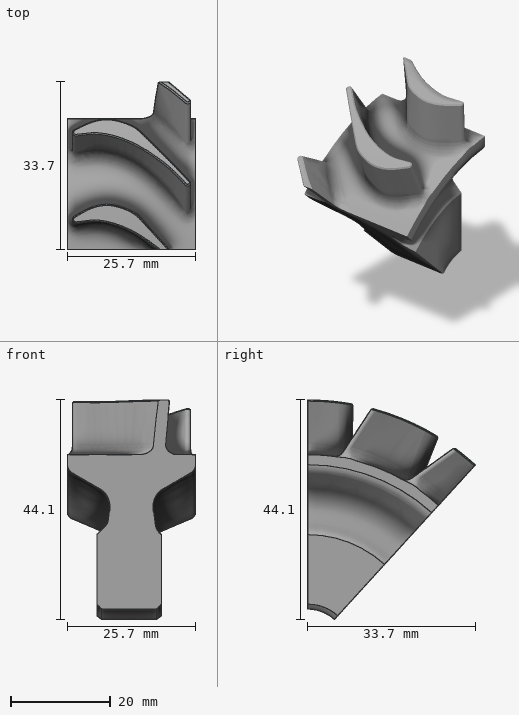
import cadquery as cq
import math


BLADES_PER_TURN = 17
BLADE_PITCH = 360 / BLADES_PER_TURN
BLADES_IN_SECTOR = 3
SECTOR_ANGLE = (BLADES_IN_SECTOR - 1) * BLADE_PITCH

TIP_RADIUS = 50.0
RIM_RADIUS = 39.0
BORE_RADIUS = 8.0
BORE_CHAMFER = 1.0

RIM_WIDTH = 25.74
RIM_EDGE_RADIUS = 35.9
RIM_SLOPE = 30.0
RIM_EDGE_ROUND = 2.0

WEB_THICKNESS = 8.25
WEB_RADIUS = 30.0
WEB_DRAFT = 7.5
WEB_TOP_ROUND = 4.0
WEB_FOOT_ROUND = 2.0

HUB_LEFT = 5.9
HUB_WIDTH = 13.0
HUB_RADIUS = 22.95
HUB_SLOPE = 45.0

ROOT_FILLET = 2.0
TIP_CHAMFER = 0.25

ROOT_HEIGHT = 40.5
TIP_HEIGHT = 49.5
LOFT_HEIGHTS = (36.0, 51.0)

NOSE_X = 1.75
NOSE_RADIUS = 0.75
TAIL_X = 24.15
TAIL_RADIUS = 0.6
CONVEX_XS = (4.5, 8.5, 12.0)
SHOULDER_X = 14.8
HOLLOW_XS = (5.5, 10.0, 15.0, 20.0)

NOSE_CONVEX_SLOPE = -31.0
NOSE_HOLLOW_SLOPE = -7.0
ROOT_SECTION = {
    "nose_y": 5.6,
    "tail_y": -6.8,
    "tail_convex_slope": 52.2,
    "tail_hollow_slope": 51.5,
    "convex_ys": (8.0, 9.0, 8.15),
    "hollow_ys": (5.35, 4.6, 1.95, -2.75),
}
TIP_SECTION = {
    "nose_y": 6.05,
    "tail_y": -4.9,
    "tail_convex_slope": 47.5,
    "tail_hollow_slope": 46.0,
    "convex_ys": (8.4, 9.1, 8.15),
    "hollow_ys": (5.7, 4.82, 2.35, -1.5),
}

BLANK_OVERHANG = 8.0
BLANK_DEPTH = 2.0
BLANK_HALF_ANGLE = 2 * BLADE_PITCH
ON_RIM_TOLERANCE = 0.01


def blend(root_value, tip_value, height):
    share = (height - ROOT_HEIGHT) / (TIP_HEIGHT - ROOT_HEIGHT)
    return root_value + share * (tip_value - root_value)


def section_at(height):
    """Section sizes at a radial height, in proportion between root and tip."""
    section = {}
    for name, root_value in ROOT_SECTION.items():
        tip_value = TIP_SECTION[name]
        if isinstance(root_value, tuple):
            pairs = zip(root_value, tip_value)
            section[name] = [blend(root, tip, height) for root, tip in pairs]
        else:
            section[name] = blend(root_value, tip_value, height)
    return section


def direction(slope):
    return (math.cos(math.radians(slope)), -math.sin(math.radians(slope)))


def beside(centre, radius, heading, side):
    """Point of a circle to the left (side 1) or right (side -1) of a heading."""
    return (centre[0] - side * radius * heading[1], centre[1] + side * radius * heading[0])


def blade_wire(height):
    s = section_at(height)
    nose = (NOSE_X, s["nose_y"])
    tail = (TAIL_X, s["tail_y"])
    nose_up = direction(NOSE_CONVEX_SLOPE)
    nose_low = direction(NOSE_HOLLOW_SLOPE)
    tail_up = direction(s["tail_convex_slope"])
    tail_low = direction(s["tail_hollow_slope"])

    convex_start = beside(nose, NOSE_RADIUS, nose_up, 1)
    convex_end = beside(tail, TAIL_RADIUS, tail_up, 1)
    shoulder_rise = (convex_end[0] - SHOULDER_X) * math.tan(math.radians(s["tail_convex_slope"]))
    shoulder = (SHOULDER_X, convex_end[1] + shoulder_rise)
    hollow_start = beside(nose, NOSE_RADIUS, nose_low, -1)
    hollow_end = beside(tail, TAIL_RADIUS, tail_low, -1)

    nose_back = direction((NOSE_CONVEX_SLOPE + NOSE_HOLLOW_SLOPE) / 2)
    tail_out = direction((s["tail_convex_slope"] + s["tail_hollow_slope"]) / 2)
    nose_mid = (nose[0] - NOSE_RADIUS * nose_back[0], nose[1] - NOSE_RADIUS * nose_back[1])
    tail_mid = (tail[0] + TAIL_RADIUS * tail_out[0], tail[1] + TAIL_RADIUS * tail_out[1])

    def at(point):
        return cq.Vector(point[0], point[1], height)

    def along(heading):
        return cq.Vector(heading[0], heading[1], 0)

    convex_points = [convex_start, *zip(CONVEX_XS, s["convex_ys"]), shoulder]
    hollow_points = [hollow_start, *zip(HOLLOW_XS, s["hollow_ys"]), hollow_end]
    edges = [
        cq.Edge.makeSpline([at(p) for p in convex_points], tangents=[along(nose_up), along(tail_up)]),
        cq.Edge.makeLine(at(shoulder), at(convex_end)),
        cq.Edge.makeThreePointArc(at(convex_end), at(tail_mid), at(hollow_end)),
        cq.Edge.makeSpline([at(p) for p in hollow_points], tangents=[along(nose_low), along(tail_low)]),
        cq.Edge.makeThreePointArc(at(hollow_start), at(nose_mid), at(convex_start)),
    ]
    return cq.Wire.assembleEdges(edges)


def ring(outer_radius, inner_radius, left, right):
    """Full ring about the X axis."""
    profile = cq.Workplane("YZ", origin=(left, 0, 0)).circle(outer_radius).circle(inner_radius)
    return profile.extrude(right - left)


def wedge(start_angle, end_angle, left, right):
    """Pie slice about the X axis; angles run from +Z towards +Y."""
    reach = 2 * TIP_RADIUS

    def corner(angle):
        return (reach * math.sin(math.radians(angle)), reach * math.cos(math.radians(angle)))

    slice_outline = cq.Workplane("YZ", origin=(left, 0, 0)).polyline(
        [(0, 0), corner(start_angle), corner(end_angle)])
    return slice_outline.close().extrude(right - left)


def tipped_blade():
    """One blade, cut off at the tip radius with its tip edges chamfered."""
    sides = cq.Solid.makeLoft([blade_wire(height) for height in LOFT_HEIGHTS], True)
    tip_cylinder = cq.Workplane("YZ").circle(TIP_RADIUS).extrude(RIM_WIDTH)
    blade = cq.Workplane(sides).intersect(tip_cylinder)
    return blade.faces(">Z").chamfer(TIP_CHAMFER)


def filleted_blade():
    """One blade on an oversize strip of rim, joined by its root fillet."""
    left = -BLANK_OVERHANG
    right = RIM_WIDTH + BLANK_OVERHANG
    strip = ring(RIM_RADIUS, RIM_RADIUS - BLANK_DEPTH, left, right)
    strip = strip.intersect(wedge(-BLANK_HALF_ANGLE, BLANK_HALF_ANGLE, left, right))
    outside = ring(2 * TIP_RADIUS, RIM_RADIUS - BLANK_DEPTH / 2, left, right)
    joined = strip.union(tipped_blade().intersect(outside))

    def is_root_edge(edge):
        box = edge.BoundingBox()
        start = edge.startPoint()
        on_rim = abs(math.hypot(start.y, start.z) - RIM_RADIUS) < ON_RIM_TOLERANCE
        return on_rim and box.xmin > 0 and box.xmax < RIM_WIDTH

    root_edges = [edge for edge in joined.edges().vals() if is_root_edge(edge)]
    return joined.newObject(root_edges).fillet(ROOT_FILLET)


def rounded_path(corners):
    """Outline through (x, radius, rounding) corners, each rounded by a tangent arc."""
    points = [cq.Vector(x, r, 0) for x, r, _ in corners]
    path = None
    for i, (_, _, rounding) in enumerate(corners):
        corner = points[i]
        to_last = (points[i - 1] - corner).normalized()
        to_next = (points[(i + 1) % len(points)] - corner).normalized()
        half_angle = to_last.getAngle(to_next) / 2
        setback = rounding / math.tan(half_angle)
        bisector = (to_last + to_next).normalized()
        arc_middle = corner + bisector * (rounding / math.sin(half_angle) - rounding)
        arc_start = corner + to_last * setback
        if path is None:
            path = cq.Workplane("XZ").moveTo(arc_start.x, arc_start.y)
        else:
            path = path.lineTo(arc_start.x, arc_start.y)
        if rounding > 0:
            arc_end = corner + to_next * setback
            path = path.threePointArc((arc_middle.x, arc_middle.y), (arc_end.x, arc_end.y))
    return path.close()


def disc_side(hub_face):
    """One side of the disc from bore to rim; x and hub_face are measured in from the rim face."""
    rim_tan = math.tan(math.radians(RIM_SLOPE))
    web_tan = math.tan(math.radians(WEB_DRAFT))
    hub_tan = math.tan(math.radians(HUB_SLOPE))
    web_face = (RIM_WIDTH - WEB_THICKNESS) / 2

    web_top_r = (RIM_EDGE_RADIUS - rim_tan * (web_face - WEB_RADIUS * web_tan)) / (1 + rim_tan * web_tan)
    web_top_x = web_face + (web_top_r - WEB_RADIUS) * web_tan
    foot_x = ((web_face + (HUB_RADIUS - hub_face * hub_tan - WEB_RADIUS) * web_tan)
              / (1 - hub_tan * web_tan))
    foot_r = HUB_RADIUS + (foot_x - hub_face) * hub_tan
    return [
        (hub_face + BORE_CHAMFER, BORE_RADIUS, 0),
        (hub_face, BORE_RADIUS + BORE_CHAMFER, 0),
        (hub_face, HUB_RADIUS, 0),
        (foot_x, foot_r, WEB_FOOT_ROUND),
        (web_top_x, web_top_r, WEB_TOP_ROUND),
        (0, RIM_EDGE_RADIUS, RIM_EDGE_ROUND),
        (0, RIM_RADIUS, 0),
    ]


def disc_sector():
    left_side = disc_side(HUB_LEFT)
    right_side = disc_side(RIM_WIDTH - HUB_LEFT - HUB_WIDTH)
    mirrored = [(RIM_WIDTH - x, r, rounding) for x, r, rounding in reversed(right_side)]
    return rounded_path(left_side + mirrored).revolve(SECTOR_ANGLE, (0, 0, 0), (-1, 0, 0))


def bladed_sector():
    sector = wedge(0, SECTOR_ANGLE, 0, RIM_WIDTH)
    part = disc_sector()
    blade = filleted_blade()
    for i in range(BLADES_IN_SECTOR):
        turned = blade.rotate((0, 0, 0), (1, 0, 0), -i * BLADE_PITCH)
        part = part.union(turned.intersect(sector))
    return part.clean()


result = bladed_sector()